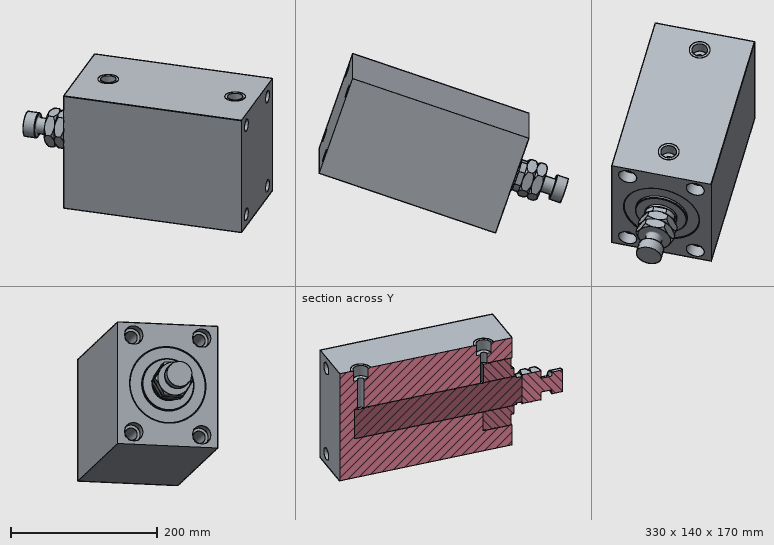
import cadquery as cq


total_length = 330.0
housing_length = 255.0
housing_width = 140.0
housing_height = 170.0
top_edge_chamfer = 0.5
tip_x = housing_length - total_length

bolt_spacing_y = 95.0
bolt_spacing_z = 135.0
bolt_diameter = 17.0
bolt_head_diameter = 25.5
bolt_head_depth = 17.0

front_port_x = 42.0
port_spacing = 181.8
port_xs = (front_port_x, front_port_x + port_spacing)
spotface_diameter = 28.5
spotface_depth = 0.3
port_diameter = 21.0
port_depth = 16.5
feed_diameter = 9.0

gland_diameter = 105.0
gland_recess = 1.0
gland_end_x = 43.0
collar_diameter = 72.5
collar_height = 3.0
collar_chamfer = 1.0

rod_diameter = 45.2
rod_front_x = tip_x + 60.0
rod_rear_x = port_xs[1] + feed_diameter
wrench_diameter = 45.0
flats_length = 8.5
flats_across = 41.0

head_diameter = 35.0
head_length = 16.5
head_chamfer = 1.0
neck_diameter = 22.5
neck_end_x = tip_x + 32.0
neck_fillet = 1.5
hex_sides = 6
hex_across = 46.2
hex_count = 2
hex_length = (rod_front_x - neck_end_x) / hex_count


def cylinder(diameter, start_x, end_x):
    """A round bar on the X axis between two X positions."""
    return cq.Workplane("YZ", origin=(start_x, 0, 0)).circle(diameter / 2).extrude(end_x - start_x)


def top_drill(x, diameter, depth):
    """A round cutter going down from the top face."""
    top = cq.Workplane("XY", origin=(x, 0, housing_height / 2))
    return top.circle(diameter / 2).extrude(-depth)


def make_housing():
    block = cq.Workplane("YZ").rect(housing_width, housing_height).extrude(housing_length)
    block = block.edges(">Z and <Y").chamfer(top_edge_chamfer)

    block = (
        block.faces("<X").workplane(origin=(0, 0, 0))
        .rect(bolt_spacing_y, bolt_spacing_z, forConstruction=True).vertices()
        .cboreHole(bolt_diameter, bolt_head_diameter, bolt_head_depth)
    )

    block = block.cut(cylinder(gland_diameter, 0, gland_end_x))
    block = block.faces("<X").edges(cq.selectors.RadiusNthSelector(-1)).chamfer(gland_recess)
    block = block.cut(cylinder(rod_diameter, 0, rod_rear_x))

    feed_depth = housing_height / 2
    for x in port_xs:
        block = block.cut(top_drill(x, spotface_diameter, spotface_depth))
        block = block.cut(top_drill(x, port_diameter, port_depth))
        block = block.cut(top_drill(x, feed_diameter, feed_depth))
    return block


def make_gland():
    collar = cylinder(collar_diameter, -collar_height, gland_recess)
    collar = collar.faces("<X").chamfer(collar_chamfer)
    plug = cylinder(gland_diameter, gland_recess, gland_end_x)
    return plug.union(collar).cut(cylinder(rod_diameter, -collar_height, gland_end_x))


def make_rod():
    flats_end_x = rod_front_x + flats_length
    square = (
        cq.Workplane("YZ", origin=(rod_front_x, 0, 0))
        .rect(flats_across, flats_across).extrude(flats_length)
    )
    wrench_end = cylinder(wrench_diameter, rod_front_x, flats_end_x).intersect(square)
    return cylinder(rod_diameter, flats_end_x, rod_rear_x).union(wrench_end)


def make_hexagon(start_x):
    """A hexagon with flats at top and bottom and 45 degree conical chamfers at both ends."""
    flat_turn = 180 / hex_sides
    prism = (
        cq.Workplane("YZ", origin=(start_x, 0, 0))
        .transformed(rotate=(0, 0, flat_turn))
        .polygon(hex_sides, hex_across, circumscribed=True).extrude(hex_length)
    )
    face_radius = hex_across / 2
    middle_radius = face_radius + hex_length / 2
    chamfer_cones = (
        cq.Workplane("XY")
        .moveTo(start_x, 0)
        .lineTo(start_x, face_radius)
        .lineTo(start_x + hex_length / 2, middle_radius)
        .lineTo(start_x + hex_length, face_radius)
        .lineTo(start_x + hex_length, 0)
        .close()
        .revolve(360, (0, 0, 0), (1, 0, 0))
    )
    return prism.intersect(chamfer_cones)


def make_coupling():
    head_end_x = tip_x + head_length
    head = cylinder(head_diameter, tip_x, head_end_x).faces(">X").chamfer(head_chamfer)
    coupling = head.union(cylinder(neck_diameter, head_end_x, neck_end_x))
    for i in range(hex_count):
        coupling = coupling.union(make_hexagon(neck_end_x + i * hex_length))
    return coupling.edges(cq.selectors.RadiusNthSelector(0)).fillet(neck_fillet)


housing = make_housing()
gland = make_gland()
rod = make_rod()
coupling = make_coupling()

bodies = [housing, gland, rod, coupling]
result = cq.Compound.makeCompound([body.solids().val() for body in bodies])